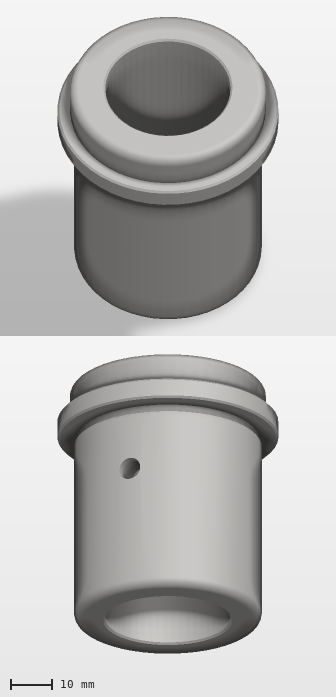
import cadquery as cq

total_height = 60.0
bore_diameter = 30.0
bore_chamfer = 0.5
end_round = 2.0

body_radius = 45.0 / 2

groove_height = 2.0
groove_depth = 0.85
groove_deepest_drop = 0.65
groove_top_depth = 0.65

flange_diameter = 53.0
flange_thickness = 5.0
flange_chamfer = 0.5
head_diameter = 47.0
head_height = 8.0

side_hole_diameter = 5.4
side_hole_height = 31.0

flange_top = total_height - head_height
flange_bottom = flange_top - flange_thickness


def make_body():
    """Grooved cylinder from the lower end up to the flange."""
    profile = (
        cq.Workplane("XZ")
        .lineTo(body_radius, 0)
        .lineTo(body_radius, flange_bottom - groove_height)
        .threePointArc(
            (body_radius - groove_depth, flange_bottom - groove_deepest_drop),
            (body_radius - groove_top_depth, flange_bottom),
        )
        .lineTo(0, flange_bottom)
        .close()
    )
    return profile.revolve(360, (0, 0, 0), (0, 1, 0)).faces("<Z").edges().fillet(end_round)


def make_flange():
    """Disc with both rims chamfered."""
    disc = cq.Workplane("XY").workplane(offset=flange_bottom).circle(flange_diameter / 2)
    return disc.extrude(flange_thickness).edges().chamfer(flange_chamfer)


def make_head():
    """Upper disc with a rounded top rim."""
    disc = cq.Workplane("XY").workplane(offset=flange_top).circle(head_diameter / 2)
    return disc.extrude(head_height).faces(">Z").edges().fillet(end_round)


def cut_bore(solid):
    """Through bore along Z with both mouths chamfered."""
    bored = solid.cut(cq.Workplane("XY").circle(bore_diameter / 2).extrude(total_height))
    mouths = bored.faces("<Z or >Z").edges(cq.selectors.RadiusNthSelector(0))
    return mouths.chamfer(bore_chamfer)


def cut_side_hole(solid):
    """Radial hole from the bore out through the +Y wall."""
    drill = (
        cq.Workplane("XZ")
        .center(0, side_hole_height)
        .circle(side_hole_diameter / 2)
        .extrude(-flange_diameter / 2)
    )
    return solid.cut(drill)


bushing = make_body().union(make_flange()).union(make_head())
result = cut_side_hole(cut_bore(bushing))